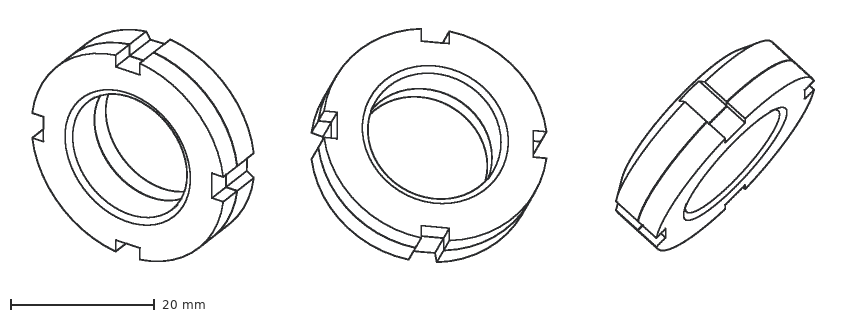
import cadquery as cq
import math

OUTER_WIDTH = 31.75
THICKNESS = 9.5
BORE_RADIUS = 9.5
SLOT_WIDTH = 4.0
SLOT_FLOOR_RADIUS = 14.0
SLOT_COUNT = 4

RIM_RADIUS = math.hypot(OUTER_WIDTH / 2, SLOT_WIDTH / 2)

BEVEL_SLOPE = math.tan(math.radians(30))
BORE_CHAMFER_WIDTH = 0.92
BORE_CHAMFER_DEPTH = BORE_CHAMFER_WIDTH * BEVEL_SLOPE
RIM_BEVEL_WIDTH = 3.0
RIM_BEVEL_DEPTH = RIM_BEVEL_WIDTH * BEVEL_SLOPE
CHAMFER_RADIUS = BORE_RADIUS + BORE_CHAMFER_WIDTH

FLANGE_THICKNESS = 3.5
HUB_END = 6.0
HUB_RADIUS = 11.75
GAP = 0.1
REAR_START = FLANGE_THICKNESS + GAP
RECESS_FLOOR = HUB_END + GAP


def revolve_ring(profile):
    """Revolve a closed (radius, Y) profile around the Y axis."""
    return cq.Workplane("XY").polyline(profile).close().revolve(360, (0, 0), (0, 1))


def cut_slots(ring):
    """Cut the spanner slots through the whole thickness of a ring."""
    slot = (
        cq.Workplane("XY")
        .box(RIM_RADIUS - SLOT_FLOOR_RADIUS, THICKNESS, SLOT_WIDTH, centered=(False, False, True))
        .translate((SLOT_FLOOR_RADIUS, 0, 0))
    )
    for index in range(SLOT_COUNT):
        angle = index * 360 / SLOT_COUNT
        ring = ring.cut(slot.rotate((0, 0, 0), (0, 1, 0), angle))
    return ring


def make_front_ring():
    """Flange with a hub on its rear side and a chamfered bore entry."""
    profile = [
        (CHAMFER_RADIUS, 0),
        (RIM_RADIUS, 0),
        (RIM_RADIUS, FLANGE_THICKNESS),
        (HUB_RADIUS, FLANGE_THICKNESS),
        (HUB_RADIUS, HUB_END),
        (BORE_RADIUS, HUB_END),
        (BORE_RADIUS, BORE_CHAMFER_DEPTH),
    ]
    return cut_slots(revolve_ring(profile))


def make_rear_ring():
    """Ring with a recess for the hub, a bevelled rear rim and a chamfered bore exit."""
    profile = [
        (HUB_RADIUS, REAR_START),
        (RIM_RADIUS, REAR_START),
        (RIM_RADIUS, THICKNESS - RIM_BEVEL_DEPTH),
        (RIM_RADIUS - RIM_BEVEL_WIDTH, THICKNESS),
        (CHAMFER_RADIUS, THICKNESS),
        (BORE_RADIUS, THICKNESS - BORE_CHAMFER_DEPTH),
        (BORE_RADIUS, RECESS_FLOOR),
        (HUB_RADIUS, RECESS_FLOOR),
    ]
    return cut_slots(revolve_ring(profile))


front_ring = make_front_ring()
rear_ring = make_rear_ring()

result = cq.Compound.makeCompound([front_ring.val(), rear_ring.val()])